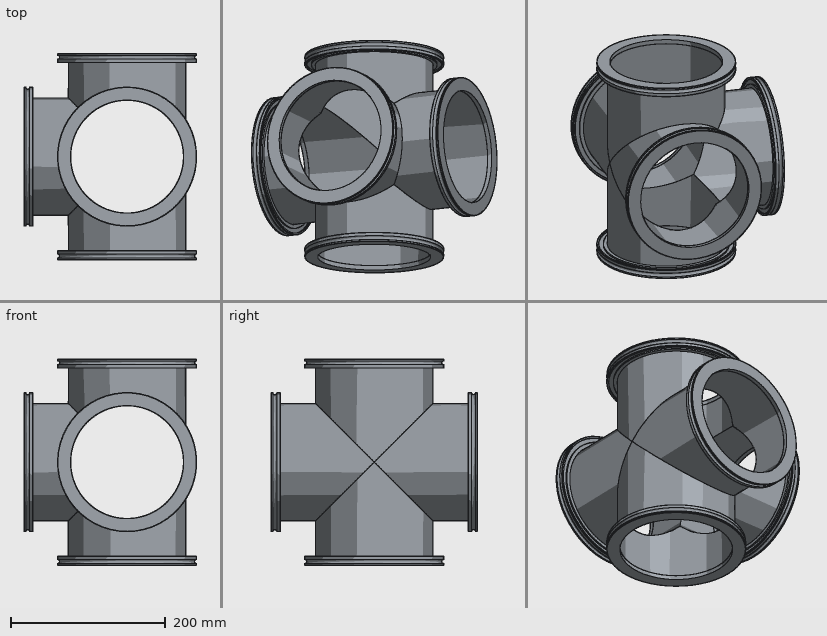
import cadquery as cq

PORT_LENGTH = 133.5
PORT_DIRECTIONS = ((-1, 0, 0), (0, -1, 0), (0, 1, 0), (0, 0, -1), (0, 0, 1))

TUBE_OUTER_DIAMETER = 152.3
TUBE_INNER_DIAMETER = 146.5

FLANGE_DIAMETER = 180.0
FLANGE_THICKNESS = 12.0
FLANGE_CHAMFER = 0.5
BORE_DIAMETER = 146.0
SOCKET_DIAMETER = 153.0
SOCKET_FLOOR = 6.0

CLAMP_GROOVE_RADIUS = 2.5
CLAMP_LIP = 2.48

BACK_GROOVE_INNER_DIAMETER = 163.0
BACK_GROOVE_OUTER_DIAMETER = 175.0
BACK_GROOVE_DEPTH = 2.0


def ring(outer_diameter, inner_diameter, start, length):
    """Ring about the Z axis from height start upwards."""
    return (
        cq.Workplane("XY", origin=(0, 0, start))
        .circle(outer_diameter / 2)
        .circle(inner_diameter / 2)
        .extrude(length)
    )


def turn_to_port(body, direction):
    """Move a body made along +Z, from the centre outwards, to the given port."""
    return cq.Workplane(body.val().moved(cq.Plane((0, 0, 0), normal=direction).location))


def make_flange():
    """Flange of the +Z port, with its sealing face up."""
    back = PORT_LENGTH - FLANGE_THICKNESS
    flange = ring(FLANGE_DIAMETER, BORE_DIAMETER, back, FLANGE_THICKNESS)
    flange = flange.edges(cq.selectors.RadiusNthSelector(-1)).chamfer(FLANGE_CHAMFER)

    socket_depth = FLANGE_THICKNESS - SOCKET_FLOOR
    socket = cq.Workplane("XY", origin=(0, 0, back)).circle(SOCKET_DIAMETER / 2).extrude(socket_depth)

    clamp_centre = PORT_LENGTH - CLAMP_LIP - CLAMP_GROOVE_RADIUS
    clamp_groove = cq.Workplane(
        cq.Solid.makeTorus(FLANGE_DIAMETER / 2, CLAMP_GROOVE_RADIUS, cq.Vector(0, 0, clamp_centre))
    )

    back_groove = ring(BACK_GROOVE_OUTER_DIAMETER, BACK_GROOVE_INNER_DIAMETER, back, BACK_GROOVE_DEPTH)
    return flange.cut(socket).cut(clamp_groove).cut(back_groove)


def port_sector(direction):
    """Room of one port: bounded by the 45 degree mitre planes to its neighbours."""
    reach = 2 * PORT_LENGTH
    sector = cq.Workplane("XY").box(reach, reach, reach)
    for neighbour in PORT_DIRECTIONS:
        if cq.Vector(neighbour).dot(cq.Vector(direction)) == 0:
            mitre_normal = cq.Vector(neighbour) - cq.Vector(direction)
            beyond = cq.Workplane(cq.Plane((0, 0, 0), normal=mitre_normal))
            sector = sector.cut(beyond.rect(2 * reach, 2 * reach).extrude(reach))
    return sector


def make_tube(direction):
    """Tube of one port, mitred against its neighbours at the centre of the cross."""
    end = PORT_LENGTH - SOCKET_FLOOR
    pipe = ring(TUBE_OUTER_DIAMETER, TUBE_INNER_DIAMETER, 0, end)
    return turn_to_port(pipe, direction).intersect(port_sector(direction))


tubes = [make_tube(direction) for direction in PORT_DIRECTIONS]
flanges = [turn_to_port(make_flange(), direction) for direction in PORT_DIRECTIONS]

result = cq.Compound.makeCompound([body.solids().val() for body in tubes + flanges])